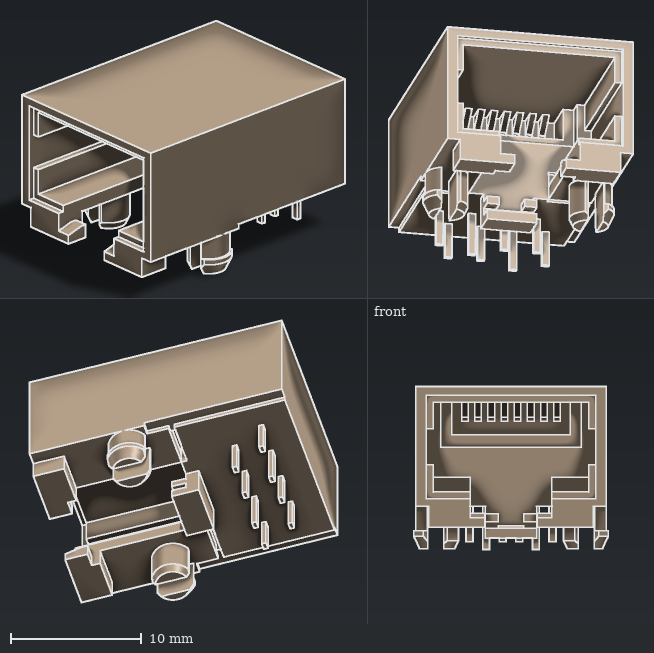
import cadquery as cq
import math


length = 20.2
overall_width = 14.93
overall_height = 12.48

half_width = 7.3
top_z = 9.17

mouth_half_width = 6.48
mouth_floor_z = 0.59
mouth_ceiling_z = 8.5
mouth_depth = 0.48
guide_thickness = 0.53
channel_half_width = mouth_half_width - guide_thickness
channel_floor_z = mouth_floor_z + guide_thickness
channel_ceiling_z = mouth_ceiling_z - guide_thickness
side_groove_z = (3.17, 5.92)
latch_slot_half_width = 3.13

carrier_y = 10.89
shoulder_y = 11.33
shoulder_z = 2.22

wall_step_y = 9.17
wall_step_z = 0.36

outer_pocket_half_width = 5.37
outer_pocket_floor_z = 4.5
outer_pocket_depth = 1.21
inner_pocket_half_width = 4.55
inner_pocket_floor_z = 5.47
inner_pocket_depth = 3.03

contact_count = 8
contact_pitch = 1.0
contact_width = 0.5
contact_tip_z = 6.5
contact_bend_z = 6.8
contact_bend_radius = 0.6
contact_slope_angle = 37.0
contact_tip_angle = 68.0
contact_setback = 0.1

foot_outer_x = 6.3
foot_depth = 2.46
foot_bottom_z = -1.62
prong_inner_x = 2.02
prong_depth = 1.8
prong_front_z = -0.89
prong_top_z = -0.53
prong_flat = 0.48

peg_x = 5.65
peg_y = 7.51
peg_half_depth = 1.45
peg_split_x = (5.15, 6.36)
peg_bottom_z = -3.25
peg_tip_radius = 1.35
shank_flat_width = 0.3
shank_radius = math.hypot(half_width - peg_x, shank_flat_width / 2)
barb_radius = overall_width / 2 - peg_x
barb_top_z = -1.85
barb_bottom_z = -2.28

clip_half_width = 1.95
clip_back_y = 11.92
clip_front_y = 9.75
clip_bottom_z = -2.45
lower_arm_top_z = -1.7
upper_arm_z = (-1.17, -0.59)
upper_arm_inner_x = 0.99
catch_height = 0.22
catch_back_y = 10.38
catch_front_y = 10.04
catch_flat = 0.16

pin_width = 0.55
pin_thickness = 0.35
pin_pitch = 2.55
pins_per_row = 4
row_offset = pin_pitch / 4
front_row_y = 15.25
back_row_y = 17.75
short_pin_z = -2.73
long_pin_z = top_z - overall_height
long_pin_index = 1


def block(x_span, y_span, z_span):
    """Axis-aligned box between the given limits."""
    size = [span[1] - span[0] for span in (x_span, y_span, z_span)]
    corner = (x_span[0], y_span[0], z_span[0])
    return cq.Workplane("XY").box(*size, centered=False).translate(corner)


def centred_block(half_x, y_span, z_span):
    """Axis-aligned box symmetric about X = 0."""
    return block((-half_x, half_x), y_span, z_span)


def side_extrude(points, x_start, x_end):
    """Closed polygon of (y, z) points extruded along X."""
    profile = cq.Workplane("YZ").workplane(offset=x_start).polyline(points).close()
    return profile.extrude(x_end - x_start)


def both_sides(shape):
    """Shape together with its mirror image across X = 0."""
    return shape.union(shape.mirror("YZ"))


def make_housing():
    """Shell and solid carrier: plug channel with latch slot, carrier shoulders and wall steps."""
    housing = centred_block(half_width, (0, length), (0, top_z))
    mouth = centred_block(mouth_half_width, (0, mouth_depth), (mouth_floor_z, mouth_ceiling_z))
    channel = centred_block(channel_half_width, (0, carrier_y), (channel_floor_z, channel_ceiling_z))
    grooves = centred_block(mouth_half_width, (0, carrier_y), side_groove_z)
    latch_slot = centred_block(latch_slot_half_width, (0, carrier_y), (0, channel_floor_z))
    housing = housing.cut(mouth).cut(channel).cut(grooves).cut(latch_slot)

    shoulder = block((latch_slot_half_width, channel_half_width), (carrier_y, shoulder_y), (0, shoulder_z))
    shoulder_gap = block((channel_half_width, mouth_half_width), (carrier_y, shoulder_y), (0, wall_step_z))
    wall_step = block((mouth_half_width, half_width), (wall_step_y, length), (0, wall_step_z))
    return housing.cut(both_sides(shoulder.union(shoulder_gap).union(wall_step)))


def make_pocket():
    """Two-step recess in the carrier face."""
    outer_back_y = carrier_y + outer_pocket_depth
    outer = centred_block(
        outer_pocket_half_width, (carrier_y, outer_back_y), (outer_pocket_floor_z, channel_ceiling_z)
    )
    inner = centred_block(
        inner_pocket_half_width,
        (outer_back_y, outer_back_y + inner_pocket_depth),
        (inner_pocket_floor_z, channel_ceiling_z),
    )
    return outer.union(inner)


def make_contacts():
    """Contacts that slope down from the pocket ceiling and bend over to a steep, set-back tip."""
    back_y = carrier_y + outer_pocket_depth + inner_pocket_depth
    slope = math.radians(contact_slope_angle)
    tip = math.radians(contact_tip_angle)
    middle = (slope + tip) / 2
    setback_y = back_y - (contact_bend_z - contact_tip_z) / math.tan(tip)
    bend_end_y = setback_y - contact_setback
    centre_y = bend_end_y - contact_bend_radius * math.sin(tip)
    centre_z = contact_bend_z - contact_bend_radius * math.cos(tip)

    def on_bend(angle):
        y = centre_y + contact_bend_radius * math.sin(angle)
        return y, centre_z + contact_bend_radius * math.cos(angle)

    bend_start_y, bend_start_z = on_bend(slope)
    top_y = bend_start_y - (channel_ceiling_z - bend_start_z) / math.tan(slope)
    contacts = cq.Workplane("XY")
    for index in range(contact_count):
        x = (index - (contact_count - 1) / 2) * contact_pitch
        contact = (
            cq.Workplane("YZ")
            .workplane(offset=x - contact_width / 2)
            .moveTo(back_y, channel_ceiling_z)
            .lineTo(top_y, channel_ceiling_z)
            .lineTo(bend_start_y, bend_start_z)
            .threePointArc(on_bend(middle), on_bend(tip))
            .lineTo(setback_y, contact_bend_z)
            .lineTo(back_y, contact_tip_z)
            .close()
            .extrude(contact_width)
        )
        contacts = contacts.union(contact)
    return contacts


def make_feet():
    """Front feet with ramped prongs reaching toward the centre."""
    foot = block((latch_slot_half_width, foot_outer_x), (0, foot_depth), (foot_bottom_z, 0))
    prong_outline = [
        (0, foot_bottom_z),
        (prong_depth, foot_bottom_z),
        (prong_depth, prong_top_z),
        (prong_depth - prong_flat, prong_top_z),
        (0, prong_front_z),
    ]
    prong = side_extrude(prong_outline, prong_inner_x, latch_slot_half_width)
    return both_sides(foot.union(prong))


def make_pegs():
    """Round pegs split along Y, with flat sides, a tapered tip and a barb on the outer half."""
    taper = (barb_radius - peg_tip_radius) / (barb_bottom_z - peg_bottom_z)
    shank_taper_z = peg_bottom_z + (shank_radius - peg_tip_radius) / taper

    def revolve(points):
        """Solid of revolution about the peg axis from (radius, z) points."""
        profile = cq.Workplane("XZ").polyline([(0, 0), *points, (0, peg_bottom_z)]).close()
        return profile.revolve(360, (0, 0), (0, 1)).translate((peg_x, peg_y, 0))

    shank = revolve([(shank_radius, 0), (shank_radius, shank_taper_z), (peg_tip_radius, peg_bottom_z)])
    barbed = revolve(
        [
            (shank_radius, 0),
            (shank_radius, barb_top_z),
            (barb_radius, barb_top_z),
            (barb_radius, barb_bottom_z),
            (peg_tip_radius, peg_bottom_z),
        ]
    )
    y_span = (peg_y - peg_half_depth, peg_y + peg_half_depth)
    inner_half = shank.intersect(block((0, peg_split_x[0]), y_span, (peg_bottom_z, 0)))
    outer_half = barbed.intersect(block((peg_split_x[1], peg_x + barb_radius), y_span, (peg_bottom_z, 0)))
    flush_trim = block((half_width, peg_x + barb_radius), y_span, (barb_top_z, 0))
    return both_sides(inner_half.union(outer_half.cut(flush_trim)))


def make_clip():
    """Spine with a full-width lower arm, two short upper arms and a ramped catch."""
    spine = centred_block(clip_half_width, (carrier_y, clip_back_y), (clip_bottom_z, 0))
    arm_y = (clip_front_y, carrier_y)
    lower_arm = centred_block(clip_half_width, arm_y, (clip_bottom_z, lower_arm_top_z))
    upper_arm = block((upper_arm_inner_x, clip_half_width), arm_y, upper_arm_z)
    catch_top_z = lower_arm_top_z + catch_height
    catch_outline = [
        (catch_front_y, lower_arm_top_z),
        (catch_back_y, lower_arm_top_z),
        (catch_back_y, catch_top_z),
        (catch_back_y - catch_flat, catch_top_z),
    ]
    catch = side_extrude(catch_outline, -upper_arm_inner_x, upper_arm_inner_x)
    return spine.union(lower_arm).union(both_sides(upper_arm)).union(catch)


def make_pin_row(row_y, direction):
    """Row of pins, counted from one outer end; direction is +1 from -X or -1 from +X."""
    end_offset = (pins_per_row - 1) * pin_pitch / 2 + row_offset
    row = cq.Workplane("XY")
    for index in range(pins_per_row):
        x = direction * (index * pin_pitch - end_offset)
        bottom_z = long_pin_z if index == long_pin_index else short_pin_z
        pin = block(
            (x - pin_width / 2, x + pin_width / 2),
            (row_y - pin_thickness / 2, row_y + pin_thickness / 2),
            (bottom_z, 0),
        )
        row = row.union(pin)
    return row


result = make_housing().cut(make_pocket())
result = result.union(make_contacts())
result = result.union(make_feet())
result = result.union(make_pegs())
result = result.union(make_clip())
result = result.union(make_pin_row(front_row_y, 1))
result = result.union(make_pin_row(back_row_y, -1))